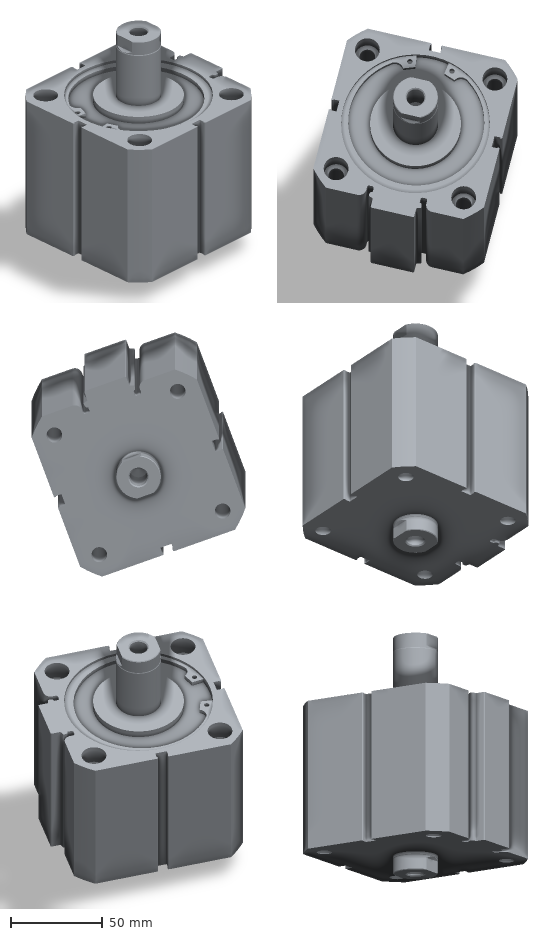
import cadquery as cq
import math


body_width = 96.5
body_depth = 102.0
body_height = 83.5
half_width = body_width / 2
corner_radius = 62.0

rail_half_width = 12.3
rail_top = body_depth - half_width
rail_edge_radius = 0.7

groove_width = 3.7
groove_x = 15.1
groove_floor = 41.4
groove_corner_radius = 1.1
groove_mouth_radius = 4.1
hook_x = 14.8
hook_top = 47.4
hook_bottom = 46.0
lip_root_x = 14.4
lip_root_y = 44.9
groove_wall_top = 44.5

slot_width = 6.5
slot_mouth_width = 5.6
slot_depth = 4.4
slot_lip = 1.1
slot_chamfer = 0.4

mount_offset = 36.0
mount_radius = 4.3
mount_bore_radius = 6.8
mount_bore_depth = 10.7

recess_radius = 40.9
cover_face_depth = 4.1
cover_plate = 12.0
boss_radius = 25.0
recess_depth = cover_face_depth + cover_plate

ring_thickness = 2.5
ring_inner_radius = 37.4
ring_inner_shift = 1.7
lug_end_x = 8.1
lug_end_y = -33.1
lug_foot_x = 9.1
lug_peak_x = 14.5
lug_peak_y = -30.7
lug_root_x = 21.5
lug_valley_x = 18.4
lug_valley_y = -33.2
lug_hole_x = 11.9
lug_hole_y = -35.5
lug_hole_radius = 1.5

rod_diameter = 25.0
rod_radius = rod_diameter / 2
rod_top_reach = 40.0
rod_bottom_reach = 10.0
tip_radius = 12.3
tip_length = 8.3
tip_chamfer = 0.4
shoulder_chamfer = 0.4
flat_offset = 11.0
flat_length = 6.8
tap_radius = 5.0
tap_mouth_radius = 5.6
tap_depth = 20.0
tap_point_angle = 118.0


def undercut_groove():
    """Undercut groove on the +X side of the rail, as a full-height cutter."""
    inner_x = groove_x - groove_width / 2
    outer_x = groove_x + groove_width / 2
    mouth_x = outer_x + groove_mouth_radius
    mouth_y = half_width - groove_mouth_radius
    arc_reach = groove_mouth_radius * math.sqrt(0.5)
    groove = (
        cq.Workplane("XY")
        .moveTo(rail_half_width, half_width)
        .lineTo(hook_x, hook_top)
        .lineTo(hook_x, hook_bottom)
        .lineTo(lip_root_x, lip_root_y)
        .lineTo(inner_x, groove_wall_top)
        .lineTo(inner_x, groove_floor)
        .lineTo(outer_x, groove_floor)
        .lineTo(outer_x, mouth_y)
        .threePointArc((mouth_x - arc_reach, mouth_y + arc_reach), (mouth_x, half_width))
        .close()
        .extrude(body_height)
    )
    return groove.faces("<Y").edges("|Z").fillet(groove_corner_radius)


def sensor_slot():
    """T-shaped slot in the -Y side, as a full-height cutter."""
    pocket_half = slot_width / 2
    mouth_half = slot_mouth_width / 2
    half_outline = [
        (mouth_half + slot_chamfer, 0),
        (mouth_half, slot_chamfer),
        (mouth_half, slot_lip),
        (pocket_half, slot_lip),
        (pocket_half, slot_depth),
    ]
    other_half = [(-x, y) for x, y in reversed(half_outline)]
    return (
        cq.Workplane("XY", origin=(0, -half_width, 0))
        .polyline(half_outline + other_half)
        .close()
        .extrude(body_height)
    )


def make_housing():
    block = cq.Workplane("XY").rect(body_width, body_width).extrude(body_height)
    housing = block.intersect(cq.Workplane("XY").circle(corner_radius).extrude(body_height))

    rail = (
        cq.Workplane("XY")
        .box(2 * rail_half_width, rail_top, body_height, centered=(True, False, False))
        .edges("|Z and >Y")
        .fillet(rail_edge_radius)
    )
    housing = housing.union(rail)

    groove = undercut_groove()
    housing = housing.cut(groove).cut(groove.mirror("YZ"))

    for angle in (-90, 0, 90):
        housing = housing.cut(sensor_slot().rotate((0, 0, 0), (0, 0, 1), angle))

    housing = (
        housing.faces(">Z")
        .workplane(origin=(0, 0, body_height))
        .rect(2 * mount_offset, 2 * mount_offset, forConstruction=True)
        .vertices()
        .cboreHole(2 * mount_radius, 2 * mount_bore_radius, mount_bore_depth)
    )

    recess = (
        cq.Workplane("XY", origin=(0, 0, body_height - recess_depth))
        .circle(recess_radius)
        .extrude(recess_depth)
    )
    rod_bore = cq.Workplane("XY").circle(rod_radius).extrude(body_height)
    return housing.cut(recess).cut(rod_bore)


def make_rod_cover():
    base_z = body_height - recess_depth
    plate = cq.Workplane("XY", origin=(0, 0, base_z)).circle(recess_radius).extrude(cover_plate)
    boss = cq.Workplane("XY", origin=(0, 0, base_z)).circle(boss_radius).extrude(recess_depth)
    bore = cq.Workplane("XY", origin=(0, 0, base_z)).circle(rod_radius).extrude(recess_depth)
    return plate.union(boss).cut(bore)


def make_retaining_ring():
    """Eccentric ring, open on the -Y side, with a drilled lug at each end."""
    lug_foot_y = -math.sqrt(recess_radius**2 - lug_foot_x**2)
    lug_root_y = -ring_inner_shift - math.sqrt(ring_inner_radius**2 - lug_root_x**2)
    return (
        cq.Workplane("XY", origin=(0, 0, body_height - cover_face_depth))
        .moveTo(lug_foot_x, lug_foot_y)
        .threePointArc((0, recess_radius), (-lug_foot_x, lug_foot_y))
        .lineTo(-lug_end_x, lug_end_y)
        .lineTo(-lug_peak_x, lug_peak_y)
        .threePointArc((-lug_valley_x, lug_valley_y), (-lug_root_x, lug_root_y))
        .threePointArc((0, ring_inner_radius - ring_inner_shift), (lug_root_x, lug_root_y))
        .threePointArc((lug_valley_x, lug_valley_y), (lug_peak_x, lug_peak_y))
        .lineTo(lug_end_x, lug_end_y)
        .close()
        .pushPoints([(-lug_hole_x, lug_hole_y), (lug_hole_x, lug_hole_y)])
        .circle(lug_hole_radius)
        .extrude(ring_thickness)
    )


def flat_cutter(end_z):
    """Material removed by the +Y wrench flat of an upper rod end; the flat runs out at 45 degrees."""
    flat_end_z = end_z - flat_length
    runout = rod_radius - flat_offset
    return (
        cq.Workplane("YZ")
        .polyline([
            (flat_offset, end_z),
            (flat_offset, flat_end_z),
            (flat_offset + runout, flat_end_z - runout),
            (flat_offset + runout, end_z),
        ])
        .close()
        .extrude(rod_radius, both=True)
    )


def half_rod(length):
    """Rod from Z = 0 up to a tapped end with two wrench flats."""
    shoulder_z = length - tip_length
    tap_bottom = length - tap_depth
    tap_point = tap_bottom - tap_radius / math.tan(math.radians(tap_point_angle / 2))
    mouth_chamfer = tap_mouth_radius - tap_radius
    profile = [
        (0, 0),
        (rod_radius, 0),
        (rod_radius, shoulder_z - shoulder_chamfer),
        (tip_radius, shoulder_z),
        (tip_radius, length - tip_chamfer),
        (tip_radius - tip_chamfer, length),
        (tap_mouth_radius, length),
        (tap_radius, length - mouth_chamfer),
        (tap_radius, tap_bottom),
        (0, tap_point),
    ]
    rod = cq.Workplane("XZ").polyline(profile).close().revolve(360, (0, 0), (0, 1))
    cutter = flat_cutter(length)
    return rod.cut(cutter).cut(cutter.mirror("XZ"))


def make_piston_rod():
    """Both rod ends are alike and meet at mid-height of the housing."""
    middle = body_height / 2
    upper = half_rod(middle + rod_top_reach)
    lower = half_rod(middle + rod_bottom_reach).mirror("XY")
    return upper.union(lower).translate((0, 0, middle))


housing = make_housing()
rod_cover = make_rod_cover()
retaining_ring = make_retaining_ring()
piston_rod = make_piston_rod()

result = cq.Compound.makeCompound([
    housing.val(),
    rod_cover.val(),
    retaining_ring.val(),
    piston_rod.val(),
])